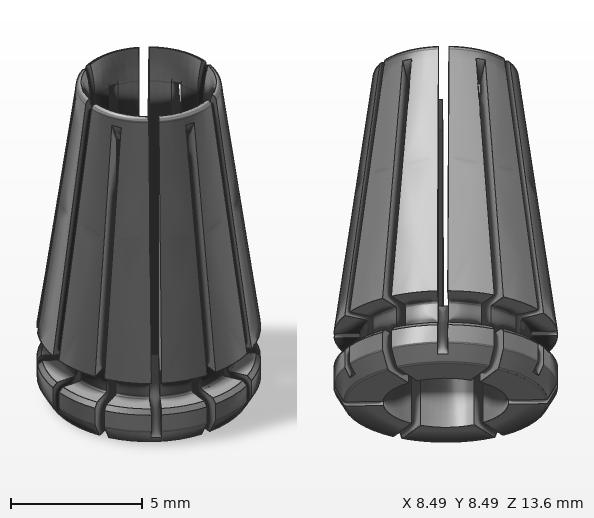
import math

import cadquery as cq

height = 13.6
max_diameter = 8.5
max_radius = max_diameter / 2
bore_radius = 2.38

flange_top = 1.59
flange_top_chamfer = 0.18
foot_chamfer_height = 0.68
foot_chamfer_angle = 30.0
foot_fillet = 0.1

groove_radius = 3.25
groove_top = 2.82
groove_fillet = 0.08

cone_angle = 8.0
mouth_radius = 2.57
mouth_depth = 1.36
rim_height = 0.18

slots_per_set = 6
slot_width = 0.4
top_slot_slope = -58.5
bottom_slot_slope = 63.0
top_slot_floor = 2.98
bottom_slot_ceiling = 12.31
cut_margin = 0.68

slot_pitch = 360.0 / slots_per_set
cut_radius = max_radius + cut_margin


def cone_radius(z):
    """Outer radius of the clamping cone at height z."""
    return max_radius - (z - groove_top) * math.tan(math.radians(cone_angle))


def make_body():
    """Revolve the solid outer shape: foot, groove, cone and rounded rim."""
    foot_radius = max_radius - foot_chamfer_height * math.tan(math.radians(foot_chamfer_angle))
    rim_base = height - rim_height

    body = (
        cq.Workplane("XZ")
        .lineTo(foot_radius, 0)
        .lineTo(max_radius, foot_chamfer_height)
        .lineTo(max_radius, flange_top - flange_top_chamfer)
        .lineTo(max_radius - flange_top_chamfer, flange_top)
        .lineTo(groove_radius + groove_fillet, flange_top)
        .radiusArc((groove_radius, flange_top + groove_fillet), groove_fillet)
        .lineTo(groove_radius, groove_top - groove_fillet)
        .radiusArc((groove_radius + groove_fillet, groove_top), groove_fillet)
        .lineTo(max_radius, groove_top)
        .lineTo(cone_radius(rim_base), rim_base)
        .tangentArcPoint((mouth_radius, height), relative=False)
        .lineTo(0, height)
        .close()
        .revolve(360, (0, 0, 0), (0, 1, 0))
    )

    reach = foot_fillet
    foot_zone = cq.selectors.BoxSelector(
        (-reach, -reach, -reach),
        (reach, reach, foot_chamfer_height + reach),
    )
    return body.edges("%CIRCLE").edges(foot_zone).fillet(foot_fillet)


def make_bore():
    """Through bore that flares at the top in an arc tangent to its wall."""
    flare = mouth_radius - bore_radius
    flare_radius = (mouth_depth**2 + flare**2) / (2 * flare)
    return (
        cq.Workplane("XZ")
        .lineTo(bore_radius, 0)
        .lineTo(bore_radius, height - mouth_depth)
        .radiusArc((mouth_radius, height), flare_radius)
        .lineTo(0, height)
        .close()
        .revolve(360, (0, 0, 0), (0, 1, 0))
    )


def make_slot(bore_end, end_slope, open_end, angle):
    """Radial slot that runs from a sloping end face out through one end of the collet.

    bore_end is the height of the end face at the bore, end_slope its rise angle going outward.
    """
    slope = math.tan(math.radians(end_slope))
    axis_z = bore_end - slope * bore_radius
    outer_z = bore_end + slope * (cut_radius - bore_radius)
    profile = [(0, axis_z), (cut_radius, outer_z), (cut_radius, open_end), (0, open_end)]
    slot = cq.Workplane("XZ").polyline(profile).close().extrude(slot_width / 2, both=True)
    return slot.rotate((0, 0, 0), (0, 0, 1), angle)


result = make_body().cut(make_bore())
for index in range(slots_per_set):
    bottom_angle = index * slot_pitch
    top_angle = bottom_angle + slot_pitch / 2
    result = result.cut(make_slot(bottom_slot_ceiling, bottom_slot_slope, -cut_margin, bottom_angle))
    result = result.cut(make_slot(top_slot_floor, top_slot_slope, height + cut_margin, top_angle))